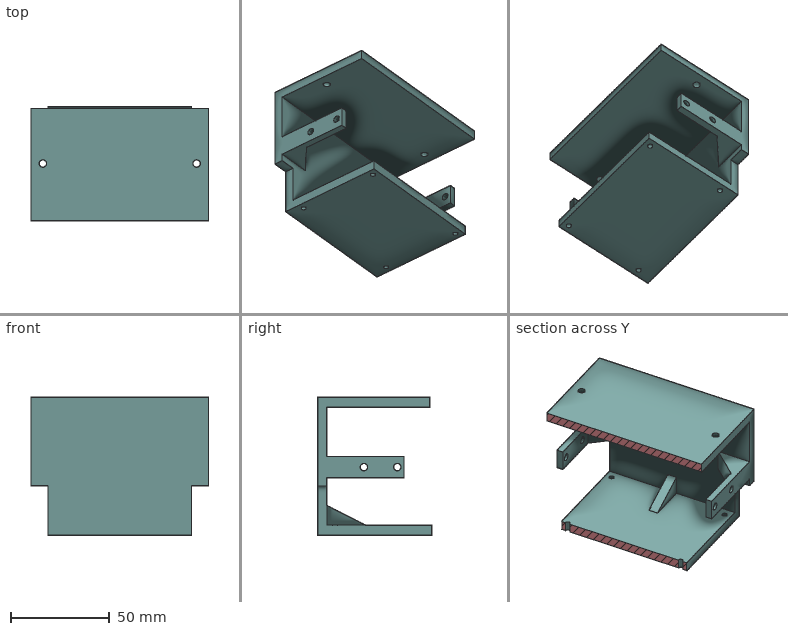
import cadquery as cq

length = 90.0
height = 70.0
base_depth = 58.0
roof_depth = 57.0

wall = 4.8
plate = 5.1
step_height = 25.0
lower_length = 72.9
lower_inset = (length - lower_length) / 2

arm_reach = 43.9
arm_thickness = 3.4
arm_bottom = 29.1
arm_height = 11.0
arm_hole_places = (23.5, 40.4)
brace_end = 17.9
brace_width = 15.0

screw_diameter = 3.6
roof_hole_inset = 6.0
roof_hole_y = 29.1
base_hole_diameter = 2.5
base_hole_inset = 3.6
base_hole_spacing = 45.45

rib_end = 24.4
rib_top = 15.1
rib_thickness = 5.0


def block(x, y, z, size_x, size_y, size_z):
    """Box with its lowest corner at (x, y, z)."""
    return cq.Workplane("XY").box(size_x, size_y, size_z, centered=False).translate((x, y, z))


def shell():
    """Front wall with a roof plate and a narrower lower section with a base plate."""
    upper_wall = block(0, 0, step_height, length, wall, height - step_height)
    roof = block(0, 0, height - plate, length, roof_depth, plate)
    lower_wall = block(lower_inset, 0, 0, lower_length, wall, step_height)
    base = block(lower_inset, 0, 0, lower_length, base_depth, plate)
    return upper_wall.union(lower_wall).union(roof).union(base)


def left_arm():
    """Arm with two cross holes and a diagonal brace at its root."""
    arm_outline = [
        (0, 0),
        (0, arm_reach),
        (arm_thickness, arm_reach),
        (arm_thickness, brace_end),
        (arm_thickness + brace_width, wall),
        (arm_thickness + brace_width, 0),
    ]
    arm = cq.Workplane("XY").workplane(offset=arm_bottom).polyline(arm_outline).close().extrude(arm_height)
    hole_z = arm_bottom + arm_height / 2
    holes = (
        cq.Workplane("YZ")
        .pushPoints([(y, hole_z) for y in arm_hole_places])
        .circle(screw_diameter / 2)
        .extrude(arm_thickness)
    )
    return arm.cut(holes)


def rib():
    """Central triangular rib, let into the wall and the base plate."""
    return (
        cq.Workplane("YZ")
        .workplane(offset=(length - rib_thickness) / 2)
        .polyline([(wall, 0), (wall, rib_top), (rib_end, plate), (rib_end, 0)])
        .close()
        .extrude(rib_thickness)
    )


def plate_holes(bottom, diameter, places):
    """Vertical drills through a plate whose underside is at the given height."""
    return cq.Workplane("XY").workplane(offset=bottom).pushPoints(places).circle(diameter / 2).extrude(plate)


arm = left_arm()
opposite_arm = arm.mirror("YZ").translate((length, 0, 0))

roof_places = [(x, roof_hole_y) for x in (roof_hole_inset, length - roof_hole_inset)]
base_hole_x = lower_inset + base_hole_inset
back_hole_y = base_depth - base_hole_inset
base_places = [
    (x, y)
    for x in (base_hole_x, length - base_hole_x)
    for y in (back_hole_y - base_hole_spacing, back_hole_y)
]

result = shell().union(arm).union(opposite_arm).union(rib())
result = result.cut(plate_holes(height - plate, screw_diameter, roof_places))
result = result.cut(plate_holes(0, base_hole_diameter, base_places))